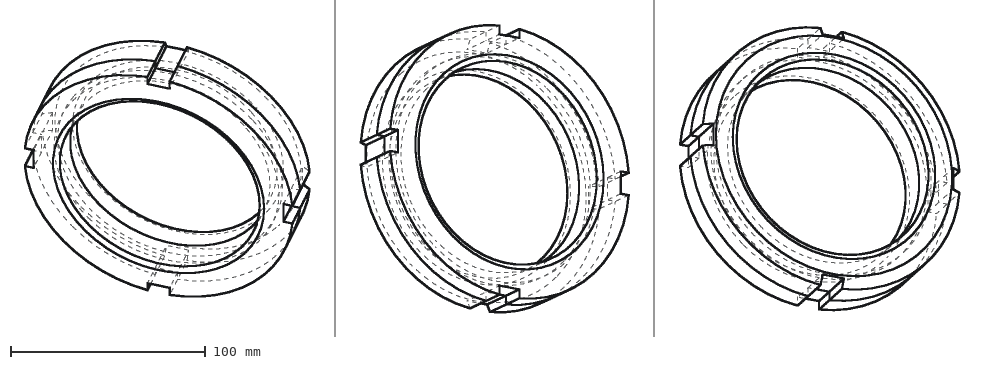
import cadquery as cq
import math

OVERALL_WIDTH = 144.5
BORE_DIAMETER = 108.0
THICKNESS = 32.0
RIM_JOINT_DEPTH = 13.0
BORE_JOINT_DEPTH = 18.8
RIM_CHAMFER_DEPTH = 3.5
RIM_CHAMFER_ANGLE = 30
BORE_CHAMFER = 3.0
BORE_CHAMFER_DEPTH = 1.7
SLOT_COUNT = 4
SLOT_WIDTH = 12.0
SLOT_FLOOR_RADIUS = 67.5

OUTER_RADIUS = math.hypot(OVERALL_WIDTH / 2, SLOT_WIDTH / 2)
BORE_RADIUS = BORE_DIAMETER / 2
JOINT_STEP_RADIUS = (BORE_RADIUS + SLOT_FLOOR_RADIUS) / 2
RIM_CHAMFER_WIDTH = RIM_CHAMFER_DEPTH / math.tan(math.radians(RIM_CHAMFER_ANGLE))


def revolve_profile(points):
    """Turn a closed (radius, Y) outline around the Y axis."""
    return cq.Workplane("XY").polyline(points).close().revolve(360, (0, 0, 0), (0, 1, 0))


def cut_spanner_slots(ring):
    """Cut evenly spaced, flat-floored slots into the rim through the full thickness."""
    slot_depth = OUTER_RADIUS - SLOT_FLOOR_RADIUS
    slot = cq.Workplane("XY").box(
        2 * slot_depth, THICKNESS, SLOT_WIDTH, centered=(False, False, True)
    ).translate((SLOT_FLOOR_RADIUS, 0, 0))
    for index in range(SLOT_COUNT):
        ring = ring.cut(slot.rotate((0, 0, 0), (0, 1, 0), index * 360 / SLOT_COUNT))
    return ring


def make_front_ring():
    """Front ring with a chamfered bore mouth and a raised inner shoulder that enters the back ring."""
    ring = revolve_profile([
        (BORE_RADIUS + BORE_CHAMFER, 0),
        (OUTER_RADIUS, 0),
        (OUTER_RADIUS, RIM_JOINT_DEPTH),
        (JOINT_STEP_RADIUS, RIM_JOINT_DEPTH),
        (JOINT_STEP_RADIUS, BORE_JOINT_DEPTH),
        (BORE_RADIUS, BORE_JOINT_DEPTH),
        (BORE_RADIUS, BORE_CHAMFER_DEPTH),
    ])
    return cut_spanner_slots(ring)


def make_back_ring():
    """Back ring with a bevelled rim, a chamfered bore mouth and a recess for the front ring's shoulder."""
    ring = revolve_profile([
        (BORE_RADIUS, BORE_JOINT_DEPTH),
        (JOINT_STEP_RADIUS, BORE_JOINT_DEPTH),
        (JOINT_STEP_RADIUS, RIM_JOINT_DEPTH),
        (OUTER_RADIUS, RIM_JOINT_DEPTH),
        (OUTER_RADIUS, THICKNESS - RIM_CHAMFER_DEPTH),
        (OUTER_RADIUS - RIM_CHAMFER_WIDTH, THICKNESS),
        (BORE_RADIUS + BORE_CHAMFER, THICKNESS),
        (BORE_RADIUS, THICKNESS - BORE_CHAMFER_DEPTH),
    ])
    return cut_spanner_slots(ring)


front_ring = make_front_ring()
back_ring = make_back_ring()

result = cq.Compound.makeCompound([front_ring.val(), back_ring.val()])